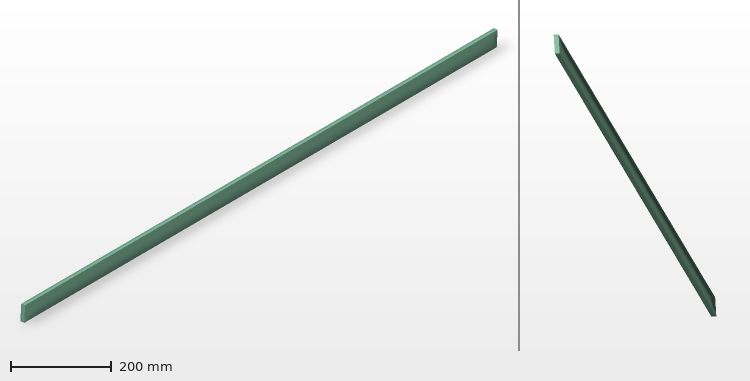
import cadquery as cq
import math

overall_length_y = 1459.0
height = 41.0
thickness = 9.9
lean = 2.5
turn_degrees = 6.65

turn = math.radians(turn_degrees)
section_width = thickness + lean
bar_length = (overall_length_y - section_width * math.sin(turn)) / math.cos(turn)

half_width = section_width / 2
section = [
    (-half_width, 0),
    (-half_width + thickness, 0),
    (half_width, height),
    (half_width - thickness, height),
]

bar = (
    cq.Workplane("XZ")
    .polyline(section)
    .close()
    .extrude(bar_length / 2, both=True)
)
result = bar.rotate((0, 0, 0), (0, 0, 1), turn_degrees)